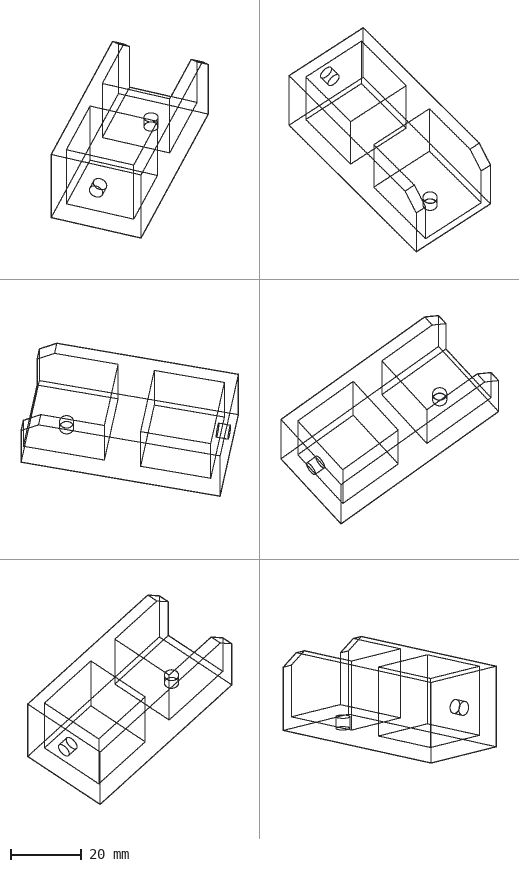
import cadquery as cq

width = 27.0
length = 57.5
height = 23.5

wall = 3.4
floor = 3.4
cavity_width = width - 2 * wall
pocket_length = cavity_width
slot_length = 23.4
chamfer = 5.05

hole_diameter = 4.0
floor_hole_from_back = 10.5
front_hole_height = 13.55

front_y = -length / 2
back_y = length / 2


def cavity(start_y, cavity_length):
    """Box-shaped cut, open at the top, starting at start_y and running toward +Y."""
    return (
        cq.Workplane("XY", origin=(0, start_y + cavity_length / 2, floor))
        .rect(cavity_width, cavity_length)
        .extrude(height - floor)
    )


body = (
    cq.Workplane("XY")
    .box(width, length, height, centered=(True, True, False))
    .edges(">Y and >Z")
    .chamfer(chamfer)
)

body = body.cut(cavity(front_y + wall, pocket_length))
body = body.cut(cavity(back_y - slot_length, slot_length))

floor_hole = (
    cq.Workplane("XY", origin=(0, back_y - floor_hole_from_back, 0))
    .circle(hole_diameter / 2)
    .extrude(floor)
)

front_hole = (
    cq.Workplane("XZ", origin=(0, front_y, front_hole_height))
    .circle(hole_diameter / 2)
    .extrude(-wall)
)

result = body.cut(floor_hole).cut(front_hole)